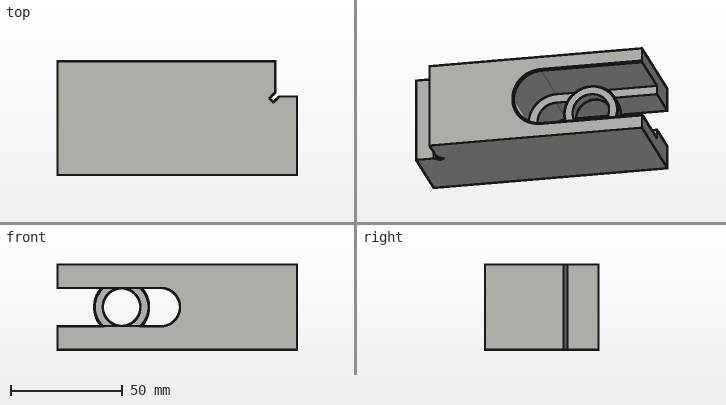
import cadquery as cq

LENGTH = 107.1
WIDTH = 50.9
HEIGHT = 38.1
MID_HEIGHT = HEIGHT / 2

SLOT_HEIGHT = 17.0
SLOT_END = 54.7
POCKET_HEIGHT = 25.0
POCKET_DEPTH = 30.0
POCKET_CHAMFER = 0.6
RIM_MARGIN = 1.1
POCKET_FLOOR = WIDTH - POCKET_DEPTH
SLOT_CENTER = SLOT_END - SLOT_HEIGHT / 2

STEP_LENGTH = 9.7
STEP_WIDTH = 15.7
RELIEF_WIDTH = 2.5
RELIEF_DEPTH = 2.5

RING_OUTER_DIAMETER = 24.6
RING_INNER_DIAMETER = 16.7
RING_THICKNESS = 7.0
RING_CHAMFER = 0.3
RING_X = 28.7


def open_slot(slot_height, y_start, depth):
    """Slot with a round inner end, extruded along +Y from y_start."""
    radius = slot_height / 2
    return (
        cq.Workplane("XZ", origin=(0, y_start, MID_HEIGHT))
        .moveTo(0, -radius)
        .lineTo(SLOT_CENTER, -radius)
        .threePointArc((SLOT_CENTER + radius, 0), (SLOT_CENTER, radius))
        .lineTo(0, radius)
        .close()
        .extrude(-depth)
    )


def corner_step():
    """Block removed from the +X +Y corner over the full height."""
    return cq.Workplane("XY").box(STEP_LENGTH, STEP_WIDTH, HEIGHT, centered=False).translate(
        (LENGTH - STEP_LENGTH, WIDTH - STEP_WIDTH, 0)
    )


def corner_relief():
    """Square-bottomed groove at 45 degrees, centred on the inner corner of the step."""
    return (
        cq.Workplane("XY")
        .box(2 * RELIEF_DEPTH, RELIEF_WIDTH, HEIGHT, centered=(True, True, False))
        .rotate((0, 0, 0), (0, 0, 1), 45)
        .translate((LENGTH - STEP_LENGTH, WIDTH - STEP_WIDTH, 0))
    )


def make_housing():
    block = cq.Workplane("XY").box(LENGTH, WIDTH, HEIGHT, centered=False)
    housing_body = (
        block.cut(open_slot(SLOT_HEIGHT, 0, WIDTH))
        .cut(open_slot(POCKET_HEIGHT, POCKET_FLOOR, POCKET_DEPTH))
        .cut(corner_step())
        .cut(corner_relief())
    )
    half_box = POCKET_HEIGHT / 2 + RIM_MARGIN
    pocket_rim = cq.selectors.BoxSelector(
        (RIM_MARGIN, WIDTH - RIM_MARGIN, MID_HEIGHT - half_box),
        (LENGTH - STEP_LENGTH - RIM_MARGIN, WIDTH + RIM_MARGIN, MID_HEIGHT + half_box),
    )
    return housing_body.edges(pocket_rim).chamfer(POCKET_CHAMFER)


def make_ring():
    """Flat ring along Y with both outer rims chamfered."""
    return (
        cq.Workplane("XZ", origin=(RING_X, POCKET_FLOOR, MID_HEIGHT))
        .circle(RING_OUTER_DIAMETER / 2)
        .extrude(-RING_THICKNESS)
        .edges("%CIRCLE")
        .chamfer(RING_CHAMFER)
        .faces("<Y")
        .workplane(origin=(RING_X, POCKET_FLOOR, MID_HEIGHT))
        .hole(RING_INNER_DIAMETER)
    )


housing = make_housing()
ring = make_ring()

result = cq.Compound.makeCompound([housing.val(), ring.val()])